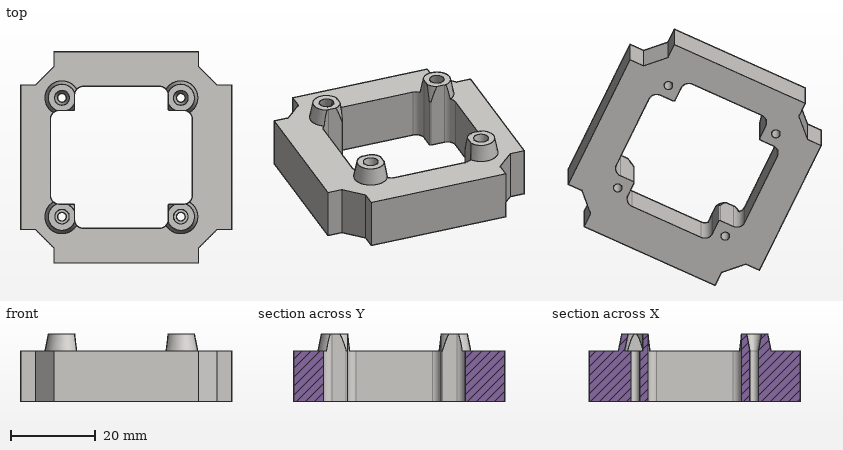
import cadquery as cq

side = 49.8
frame_height = 12.0
straight_edge = 34.1
corner_cut = 4.3

center_x = -1.15
opening_span = 33.35
tab_gap = 22.0
inner_radius = 2
tab_corner_radius = 0.35

boss_height = 4
boss_spacing = 28.0
boss_base_diameter = 8.0
boss_top_diameter = 6.4

hole_diameter = 2
rear_bore_diameter = 3.5
front_bore_diameter = 3.4
front_bore_flat_offset = 1.7

total_height = frame_height + boss_height
boss_flare = boss_base_diameter - boss_top_diameter
opening_center = (center_x, 0, 0)
x_signs = (-1, 1)


def cone(bottom_diameter, top_diameter, height, base_z, x_sign, y_sign):
    """Return a vertical cone on the axis of one boss."""
    axis_x = center_x + x_sign * boss_spacing / 2
    axis_y = y_sign * boss_spacing / 2
    base = cq.Vector(axis_x, axis_y, base_z)
    if bottom_diameter == top_diameter:
        return cq.Workplane(cq.Solid.makeCylinder(top_diameter / 2, height, base))
    return cq.Workplane(cq.Solid.makeCone(bottom_diameter / 2, top_diameter / 2, height, base))


def make_frame():
    """Square block whose corners have stepped notches with a diagonal floor."""
    half = side / 2
    edge = straight_edge / 2
    shoulder = edge + corner_cut
    corner = [(half, edge), (shoulder, edge), (edge, shoulder), (edge, half)]
    outline = []
    for x_sign, y_sign in ((1, 1), (-1, 1), (-1, -1), (1, -1)):
        points = [(x * x_sign, y * y_sign) for x, y in corner]
        if x_sign * y_sign < 0:
            points.reverse()
        outline += points
    return cq.Workplane("XY").polyline(outline).close().extrude(frame_height)


def make_opening():
    """Full-height cross with rounded arm ends and rounded tab corners."""
    base = cq.Workplane("XY", origin=opening_center)
    arm_x = base.rect(opening_span, tab_gap).extrude(total_height)
    arm_x = arm_x.edges("|Z").fillet(inner_radius)
    arm_y = base.rect(tab_gap, opening_span).extrude(total_height)
    arm_y = arm_y.edges("|Z").fillet(inner_radius)
    reach = tab_gap / 2 + tab_corner_radius
    tab_corners = cq.selectors.BoxSelector(
        (center_x - reach, -reach, 0), (center_x + reach, reach, total_height)
    )
    return arm_x.union(arm_y).edges("|Z").edges(tab_corners).fillet(tab_corner_radius)


def make_bosses():
    """Tapered bosses standing on the four tabs."""
    bosses = cq.Workplane("XY")
    for x_sign in x_signs:
        for y_sign in (-1, 1):
            bosses = bosses.add(
                cone(boss_base_diameter, boss_top_diameter, boss_height, frame_height, x_sign, y_sign)
            )
    return bosses.combine()


def make_front_bore(x_sign):
    """Bore flaring with its boss, cut off flat parallel to both tab faces."""
    bore = cone(
        front_bore_diameter + boss_flare, front_bore_diameter, boss_height, frame_height, x_sign, -1
    )
    box_side = 2 * boss_base_diameter
    box_offset = boss_spacing / 2 - front_bore_flat_offset + box_side / 2
    limits = (
        cq.Workplane("XY", origin=(center_x + x_sign * box_offset, -box_offset, 0))
        .rect(box_side, box_side)
        .extrude(total_height)
    )
    through_hole = cone(hole_diameter, hole_diameter, total_height, 0, x_sign, -1)
    return bore.intersect(limits).union(through_hole)


def make_rear_bore(x_sign):
    """Bore narrowing through the boss to a straight hole through the frame."""
    taper = cone(hole_diameter, rear_bore_diameter, boss_height, frame_height, x_sign, 1)
    return taper.union(cone(hole_diameter, hole_diameter, frame_height, 0, x_sign, 1))


opening = make_opening()
result = make_frame().union(make_bosses()).cut(opening)
for x_sign in x_signs:
    result = result.cut(make_front_bore(x_sign)).cut(make_rear_bore(x_sign))